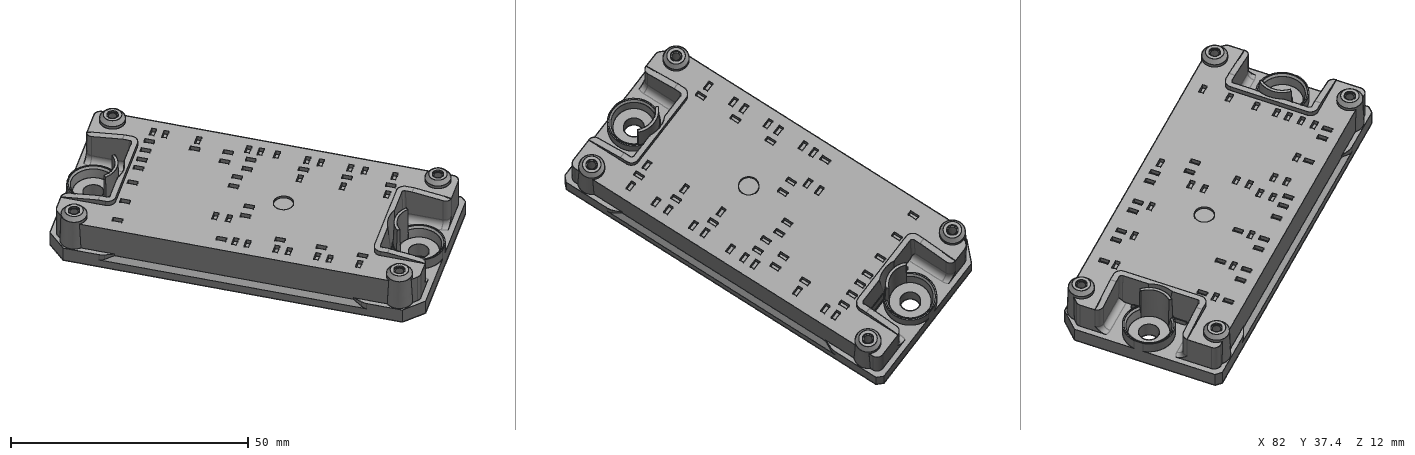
import cadquery as cq
import math

LENGTH = 82.0
WIDTH = 37.4
HEIGHT = 12.0
CUT_MARGIN = 1.0

PAD_LENGTH = 57.4
PAD_WIDTH = 33.0
PAD_THICKNESS = 0.2

FLANGE_TOP = 3.65
REAR_CHAMFER = 1.2
FRONT_CHAMFER = 4.0
END_X = LENGTH / 2
SIDE_Y = WIDTH / 2

HOUSING_TOP = 10.35
HOUSING_END_INSET = 1.25
HOUSING_SIDE_INSET = 1.05
HOUSING_END_X = END_X - HOUSING_END_INSET
HOUSING_SIDE_Y = SIDE_Y - HOUSING_SIDE_INSET
HOUSING_CORNER_RADIUS = 1.5
HOUSING_FRONT_CHAMFER = 3.1

POST_X = 35.5
POST_Y = 15.5
POST_BASE_RADIUS = 3.0
POST_RADIUS = 2.75
POST_SHOULDER_Z = 11.05
POST_TOP_RADIUS = 1.95
SCREW_HOLE_DIAMETER = 2.4
SCREW_HOLE_DEPTH = 0.4
PILOT_HOLE_DIAMETER = 1.8
PILOT_HOLE_DEPTH = 6.0

NOTCH_INNER_X = 29.5
NOTCH_HALF_WIDTH = 9.15
NOTCH_DRAFT = 2.5
NOTCH_CORNER_RADIUS = 0.6
NOTCH_MOUTH_RADIUS = 1.4
RIM_TOP = 11.5
RIM_END_HEIGHT = 0.1
RIM_END_THICKNESS = 1.25
RIM_ARM_THICKNESS = 1.4
RIM_CORNER_RADIUS = 1.75
RIM_SLOPE_START_X = 31.6
COVE_RADIUS = 1.5

MOUNT_X = 35.5
MOUNT_HOLE_DIAMETER = 4.4
RING_OUTER_RADIUS = 5.6
RING_FLOOR_RADIUS = 4.4
RING_BORE_RADIUS = 4.85
RING_CHAMFER = 0.45
RING_TOP = 6.15
SHIELD_TOP = 11.9
SHIELD_TOP_OUTER_RADIUS = 5.2
SHIELD_BASE_OUTER_RADIUS = 5.5
SHIELD_TOP_INNER_RADIUS = 4.55
SHIELD_ANGLE = 90.0
EYE_INNER_X = 30.15
CLEARANCE_BASE_RADIUS = 5.85
CLEARANCE_TOP_RADIUS = 6.6

SLOT_OUTER_X = 30.75
SLOT_INNER_X = 29.65
SLOT_HALF_LENGTH = 6.3
SLOT_CORNER_RADIUS = 0.35

GROOVE_OUTER_Z = 2.15
GROOVE_INNER_Z = 3.2
GROOVE_INNER_HALF_LENGTH = 26.1
GROOVE_END_RUN = 2.5
GROOVE_END_RADIUS = 3.0

PIN_LENGTH = 2.1
PIN_WIDTH = 1.05
PIN_DEPTH = 1.0
PINS_ALONG_X = {
    12.25: (-9.4,),
    11.5: (-16.5,),
    11.25: (-26.35, -4.2, 7.3, 16.8, 26.35),
    9.3: (-9.4,),
    8.3: (-26.35, -4.2),
    5.3: (-26.35, -5.55),
    2.6: (-26.35,),
    2.35: (-5.55,),
    -2.1: (-26.35,),
    -2.95: (-0.7,),
    -5.95: (-0.7,),
    -8.2: (-26.35,),
    -11.25: (8.3, 17.3),
    -11.5: (26.35,),
    -14.25: (-26.35, -3.7),
}
PINS_ALONG_Y = {
    14.25: (-26.35, -23.65, -16.5, -5.55, -2.85, 0.7, 7.3, 10.25, 16.7, 19.85, 26.35),
    8.3: (7.3, 16.7, 26.35),
    -7.65: (-6.8, -3.85),
    -14.25: (-0.7, 2.0, 8.3, 11.0, 17.2, 19.9, 26.35),
}
MARK_X = 6.0
MARK_DIAMETER = 4.3
MARK_DEPTH = 0.5


def prism(corners, z_low, z_high):
    """Upright prism on a polygon, between two heights."""
    return cq.Workplane("XY", origin=(0, 0, z_low)).polyline(corners).close().extrude(z_high - z_low)


def box_between(x_low, x_high, y_low, y_high, z_low, z_high):
    """Box given by its limits along each axis."""
    corners = [(x_low, y_low), (x_high, y_low), (x_high, y_high), (x_low, y_high)]
    return prism(corners, z_low, z_high)


def turned(profile, x, y, angle=360.0):
    """Profile of (radius, z) points turned about the vertical axis at (x, y), centred on +X."""
    solid = cq.Workplane("XZ").polyline(profile).close().revolve(angle, (0, 0, 0), (0, 1, 0))
    return solid.rotate((0, 0, 0), (0, 0, 1), -angle / 2).translate((x, y, 0))


def both_ends(feature):
    """The feature at the -X end together with its mirror image at the +X end."""
    return feature.union(feature.mirror("YZ"))


def chamfered_outline(half_length, half_width, rear, front):
    """Rectangle with its two rear (+Y) and two front (-Y) corners cut off at 45 degrees."""
    return [
        (-half_length, half_width - rear),
        (-half_length + rear, half_width),
        (half_length - rear, half_width),
        (half_length, half_width - rear),
        (half_length, -half_width + front),
        (half_length - front, -half_width),
        (-half_length + front, -half_width),
        (-half_length, -half_width + front),
    ]


def make_flange():
    outline = chamfered_outline(END_X, SIDE_Y, REAR_CHAMFER, FRONT_CHAMFER)
    flange = prism(outline, PAD_THICKNESS, FLANGE_TOP)
    pad = cq.Workplane("XY").rect(PAD_LENGTH, PAD_WIDTH).extrude(PAD_THICKNESS)
    return flange.union(pad)


def make_housing():
    front_x = HOUSING_END_X - HOUSING_FRONT_CHAMFER
    outline = [
        (-HOUSING_END_X, HOUSING_SIDE_Y),
        (HOUSING_END_X, HOUSING_SIDE_Y),
        (HOUSING_END_X, -HOUSING_SIDE_Y + HOUSING_FRONT_CHAMFER),
        (front_x, -HOUSING_SIDE_Y),
        (-front_x, -HOUSING_SIDE_Y),
        (-HOUSING_END_X, -HOUSING_SIDE_Y + HOUSING_FRONT_CHAMFER),
    ]
    housing = prism(outline, FLANGE_TOP, HOUSING_TOP)
    return housing.edges("|Z").fillet(HOUSING_CORNER_RADIUS)


def make_rim():
    """Raised band around the notch; its arms slope down almost to the lid at the end face."""
    inner_x = -NOTCH_INNER_X + RIM_END_THICKNESS
    half_width = NOTCH_HALF_WIDTH + RIM_ARM_THICKNESS
    band = box_between(-HOUSING_END_X, inner_x, -half_width, half_width, FLANGE_TOP, RIM_TOP)
    band = band.edges("|Z and >X").fillet(RIM_CORNER_RADIUS)
    side_profile = [
        (-HOUSING_END_X, FLANGE_TOP),
        (inner_x, FLANGE_TOP),
        (inner_x, RIM_TOP),
        (-RIM_SLOPE_START_X, RIM_TOP),
        (-HOUSING_END_X, HOUSING_TOP + RIM_END_HEIGHT),
    ]
    return band.intersect(cq.Workplane("XZ").polyline(side_profile).close().extrude(half_width, both=True))


def make_notch_cutter():
    """Pocket open at the end face: upright side walls, inner wall drafted, inner corners rounded."""
    depth = RIM_TOP - FLANGE_TOP
    floor_inner_x = -NOTCH_INNER_X - depth * math.tan(math.radians(NOTCH_DRAFT))
    side_profile = [
        (-END_X, FLANGE_TOP),
        (floor_inner_x, FLANGE_TOP),
        (-NOTCH_INNER_X, RIM_TOP),
        (-END_X, RIM_TOP),
    ]
    pocket = cq.Workplane("XZ").polyline(side_profile).close().extrude(NOTCH_HALF_WIDTH, both=True)
    inner_corners = pocket.faces(">X").edges("not |Y")
    return inner_corners.fillet(NOTCH_CORNER_RADIUS)


def make_mouth_cutter(side):
    """Rounds the upright corner where a notch side wall meets the end face."""
    wall_y = NOTCH_HALF_WIDTH
    size = NOTCH_MOUTH_RADIUS
    centre = (-HOUSING_END_X + size, side * (wall_y + size))
    corner = box_between(-HOUSING_END_X, centre[0], *sorted((side * wall_y, centre[1])), FLANGE_TOP, RIM_TOP)
    round_part = cq.Workplane("XY").center(*centre).circle(size).extrude(HEIGHT)
    return corner.cut(round_part)


def make_cove(side):
    """Concave fillet at the foot of a notch side wall, carried round its mouth corner."""
    wall_y = NOTCH_HALF_WIDTH
    start_x = -HOUSING_END_X + NOTCH_MOUTH_RADIUS
    end_x = -NOTCH_INNER_X
    arc_offset = COVE_RADIUS * (1 - math.sqrt(0.5))

    def foot(plane, wall, toe, overlap):
        """Cove section from wall to toe, carried back to overlap inside the wall."""
        return (
            plane.moveTo(wall, FLANGE_TOP + COVE_RADIUS)
            .threePointArc(
                (wall + math.copysign(arc_offset, toe - wall), FLANGE_TOP + arc_offset),
                (toe, FLANGE_TOP),
            )
            .lineTo(overlap, FLANGE_TOP)
            .lineTo(overlap, FLANGE_TOP + COVE_RADIUS)
            .close()
        )

    straight = foot(
        cq.Workplane("YZ", origin=(start_x, 0, 0)),
        side * wall_y,
        side * (wall_y - COVE_RADIUS),
        side * (wall_y + NOTCH_MOUTH_RADIUS / 2),
    ).extrude(end_x - start_x)
    radius = NOTCH_MOUTH_RADIUS
    around = foot(cq.Workplane("XZ"), radius, radius + COVE_RADIUS, radius / 2)
    around = around.revolve(360, (0, 0, 0), (0, 1, 0))
    around = around.translate((start_x, side * (wall_y + radius), 0))
    quarter = box_between(
        -HOUSING_END_X,
        start_x,
        *sorted((0, side * (wall_y + radius))),
        FLANGE_TOP,
        RIM_TOP,
    )
    return straight.union(around.intersect(quarter))


def make_clearance_cutter():
    """Conical relief in the notch's inner wall, behind the shield."""
    return turned(
        [
            (0, FLANGE_TOP),
            (CLEARANCE_BASE_RADIUS, FLANGE_TOP),
            (CLEARANCE_TOP_RADIUS, RIM_TOP),
            (0, RIM_TOP),
        ],
        -MOUNT_X,
        0,
    )


def make_slot_cutter():
    slot = box_between(
        -SLOT_OUTER_X, -SLOT_INNER_X, -SLOT_HALF_LENGTH, SLOT_HALF_LENGTH, -CUT_MARGIN, FLANGE_TOP
    )
    return slot.edges("|Z").fillet(SLOT_CORNER_RADIUS)


def make_mounting_eye():
    """Ring and shield, trimmed flush with the flange end and clear of the notch's inner wall."""
    ring = turned(
        [
            (RING_FLOOR_RADIUS, PAD_THICKNESS),
            (RING_OUTER_RADIUS, PAD_THICKNESS),
            (RING_OUTER_RADIUS, RING_TOP),
            (RING_BORE_RADIUS + RING_CHAMFER, RING_TOP),
            (RING_BORE_RADIUS, RING_TOP - RING_CHAMFER),
            (RING_FLOOR_RADIUS, FLANGE_TOP),
        ],
        -MOUNT_X,
        0,
    )
    trimmed_ends = box_between(
        -END_X, -EYE_INNER_X, -RING_OUTER_RADIUS, RING_OUTER_RADIUS, PAD_THICKNESS, SHIELD_TOP
    )
    shield = turned(
        [
            (RING_FLOOR_RADIUS, FLANGE_TOP),
            (SHIELD_BASE_OUTER_RADIUS, FLANGE_TOP),
            (SHIELD_TOP_OUTER_RADIUS, SHIELD_TOP),
            (SHIELD_TOP_INNER_RADIUS, SHIELD_TOP),
        ],
        -MOUNT_X,
        0,
        SHIELD_ANGLE,
    )
    return ring.union(shield).intersect(trimmed_ends)


def make_post(x, y):
    profile = [
        (0, FLANGE_TOP),
        (POST_BASE_RADIUS, FLANGE_TOP),
        (POST_RADIUS, POST_SHOULDER_Z),
        (POST_TOP_RADIUS, HEIGHT),
        (0, HEIGHT),
    ]
    return turned(profile, x, y)


def make_screw_hole(x, y):
    top = cq.Workplane("XY", origin=(x, y, HEIGHT))
    pilot = top.circle(PILOT_HOLE_DIAMETER / 2).extrude(-PILOT_HOLE_DEPTH)
    return pilot.union(top.circle(SCREW_HOLE_DIAMETER / 2).extrude(-SCREW_HOLE_DEPTH))


def make_groove_cutter():
    """Groove along the -Y side: sloped floor, slanted ends blended into the flange side."""
    run_angle = math.atan2(HOUSING_SIDE_INSET, GROOVE_END_RUN)
    tangent = GROOVE_END_RADIUS * math.tan(run_angle / 2)
    corner_x = GROOVE_INNER_HALF_LENGTH + GROOVE_END_RUN
    blend_start_x = corner_x + tangent

    def blend_point(angle):
        """Point at the +X end's blend arc, turned by angle from its start on the flange side."""
        x = blend_start_x - GROOVE_END_RADIUS * math.sin(angle)
        y = -SIDE_Y + GROOVE_END_RADIUS * (1 - math.cos(angle))
        return x, y

    mid_x, mid_y = blend_point(run_angle / 2)
    end_x, end_y = blend_point(run_angle)
    plan = (
        cq.Workplane("XY")
        .moveTo(-blend_start_x, -SIDE_Y)
        .threePointArc((-mid_x, mid_y), (-end_x, end_y))
        .lineTo(-GROOVE_INNER_HALF_LENGTH, -HOUSING_SIDE_Y)
        .lineTo(GROOVE_INNER_HALF_LENGTH, -HOUSING_SIDE_Y)
        .lineTo(end_x, end_y)
        .threePointArc((mid_x, mid_y), (blend_start_x, -SIDE_Y))
        .close()
        .extrude(HEIGHT)
    )
    section = [
        (-SIDE_Y, GROOVE_OUTER_Z),
        (-HOUSING_SIDE_Y, GROOVE_INNER_Z),
        (-HOUSING_SIDE_Y, FLANGE_TOP),
        (-SIDE_Y, FLANGE_TOP),
    ]
    return plan.intersect(cq.Workplane("YZ").polyline(section).close().extrude(END_X, both=True))


def cut_pin_openings(body):
    lid = cq.Workplane("XY", origin=(0, 0, HOUSING_TOP))
    along_x = [(x, y) for y, row in PINS_ALONG_X.items() for x in row]
    along_y = [(x, y) for y, row in PINS_ALONG_Y.items() for x in row]
    body = body.cut(lid.pushPoints(along_x).rect(PIN_LENGTH, PIN_WIDTH).extrude(-PIN_DEPTH))
    return body.cut(lid.pushPoints(along_y).rect(PIN_WIDTH, PIN_LENGTH).extrude(-PIN_DEPTH))


groove = make_groove_cutter()
body = make_flange().cut(groove).cut(groove.mirror("XZ"))
body = body.union(make_housing()).union(both_ends(make_rim()))

body = body.cut(both_ends(make_notch_cutter()))
for side in (-1, 1):
    body = body.cut(both_ends(make_mouth_cutter(side)))
    body = body.union(both_ends(make_cove(side)))
body = body.cut(both_ends(make_clearance_cutter()))

body = body.cut(both_ends(make_slot_cutter()))
body = body.union(both_ends(make_mounting_eye()))
mount_hole = cq.Workplane("XY").center(-MOUNT_X, 0).circle(MOUNT_HOLE_DIAMETER / 2).extrude(HEIGHT)
body = body.cut(both_ends(mount_hole))

for x in (-POST_X, POST_X):
    for y in (-POST_Y, POST_Y):
        body = body.union(make_post(x, y)).cut(make_screw_hole(x, y))

body = cut_pin_openings(body)
mark = cq.Workplane("XY", origin=(MARK_X, 0, HOUSING_TOP)).circle(MARK_DIAMETER / 2).extrude(-MARK_DEPTH)
result = body.cut(mark)